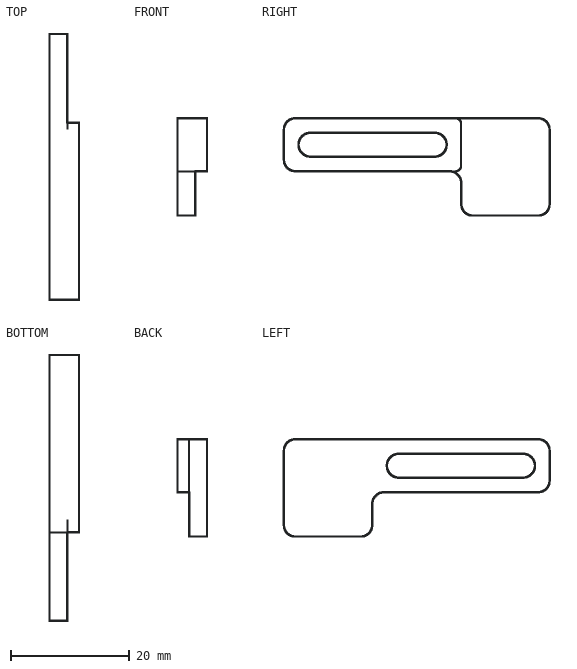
import cadquery as cq

length = 45.0
height = 16.5
arm_height = 9.0
plate_width = 15.0
plate_thickness = 3.0
arm_thickness = 5.0
corner_radius = 2.0
pad_end_radius = 1.0
slot_length = 25.0
slot_width = 4.0
slot_end_margin = 2.5

arm_bottom = height - arm_height
arm_middle = height - arm_height / 2
plate_edge = length - plate_width
slot_center = slot_end_margin + slot_length / 2


def make_plate():
    """L-shaped plate with every corner rounded."""
    outline = [
        (0, arm_bottom),
        (plate_edge, arm_bottom),
        (plate_edge, 0),
        (length, 0),
        (length, height),
        (0, height),
    ]
    plate = cq.Workplane("YZ").polyline(outline).close().extrude(plate_thickness)
    return plate.edges("|X").fillet(corner_radius)


def make_arm():
    """Thick arm from its tip to the inner edge of the end plate."""
    arm = cq.Workplane("XY").box(arm_thickness, plate_edge, arm_height, centered=False)
    arm = arm.translate((0, 0, arm_bottom))
    arm = arm.edges("|X and <Y").fillet(corner_radius)
    return arm.edges("|X and >Y").fillet(pad_end_radius)


def make_slot():
    """Round-ended slot through the full arm thickness."""
    return (
        cq.Workplane("YZ")
        .center(slot_center, arm_middle)
        .slot2D(slot_length, slot_width)
        .extrude(arm_thickness)
    )


result = make_plate().union(make_arm()).cut(make_slot())